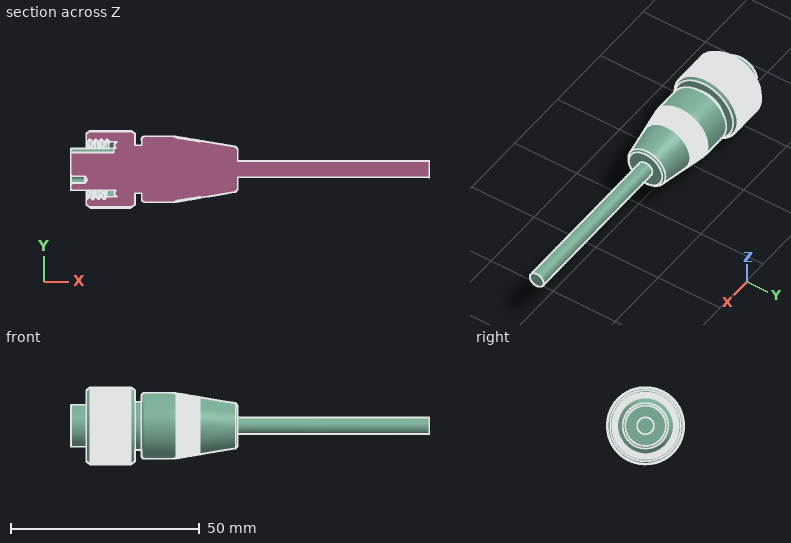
import cadquery as cq
import math

total_length = 95.15

nose_diameter = 11.2
nose_chamfer = 0.2
key_width = 2.0
key_floor_radius = 4.5
key_length = 11.4
socket_count = 3
socket_circle_radius = 2.8
socket_mouth_diameter = 2.3
socket_mouth_depth = 0.2
socket_bore_diameter = 1.7
socket_depth = 3.8
drill_point_angle = 118.0

nut_start = 4.1
nut_end = 17.1
nut_diameter = 20.55
nut_chamfer_length = 1.1
nut_chamfer_height = 0.9
nut_floor = 12.5
thread_minor_diameter = 14.6
thread_major_diameter = 15.9
thread_pitch = 1.5
thread_root_width = 0.2
thread_mouth_width = 1.4
thread_start_angle = 30.0

seal_thickness = 1.7
seal_bite = 0.1

neck_diameter = 12.8
body_start = 18.7
body_diameter = 17.6
body_edge_radius = 0.95
taper_start = 27.3
taper_end = 44.3
taper_end_diameter = 11.9
taper_blend_radius = 9.5
taper_end_chamfer = 0.6

cable_diameter = 4.5

knurl_pitch = 0.63
knurl_row_width = 0.34
knurl_depth = 0.2
knurl_core_depth = knurl_depth + 0.05
nut_knurl_start = nut_start + nut_chamfer_length
nut_knurl_end = nut_end - nut_chamfer_length
grip_knurl_start = 28.0
grip_knurl_end = 34.3

overlap = 0.95

match_tolerance = 0.001


def grip_radius(x):
    """Radius of the tapered part of the grip at distance x along the axis."""
    share = (x - taper_start) / (taper_end - taper_start)
    return (body_diameter + share * (taper_end_diameter - body_diameter)) / 2


nut_band = (nut_knurl_start, nut_diameter / 2, nut_knurl_end, nut_diameter / 2)
grip_band = (grip_knurl_start, grip_radius(grip_knurl_start), grip_knurl_end, grip_radius(grip_knurl_end))


def rod(diameter, start, end):
    """Round bar along X."""
    return cq.Workplane("YZ", origin=(start, 0, 0)).circle(diameter / 2).extrude(end - start)


def turned(points):
    """Solid turned about X from an outline of (x, radius) points."""
    return cq.Workplane("XY").polyline(points).close().revolve(360, (0, 0, 0), (1, 0, 0))


def knurl_relief(start, start_radius, end, end_radius):
    """Ring that lowers a straight or tapered surface to the knurling core."""
    return turned([
        (start, start_radius - knurl_core_depth),
        (start, start_radius + overlap),
        (end, end_radius + overlap),
        (end, end_radius - knurl_core_depth),
    ])


def tooth_wire(x, tip_radius, tooth_count):
    """Closed zigzag around the axis, with its tips at tip_radius."""
    points = []
    for i in range(2 * tooth_count):
        radius = tip_radius if i % 2 == 0 else tip_radius - knurl_depth
        angle = math.pi * i / tooth_count
        points.append(cq.Vector(x, radius * math.cos(angle), radius * math.sin(angle)))
    return cq.Wire.makePolygon(points, close=True)


def core_strip(start, start_radius, end, end_radius):
    """Round face of the knurling core between two places along the axis."""
    core = turned([(start, 0), (start, start_radius), (end, end_radius), (end, 0)])
    return core.faces("%CYLINDER or %CONE").val()


def row_side(outline, strip_edge):
    """Flat side of a tooth row, from its zigzag outline down to the core."""
    return cq.Face.makeFromWires(outline, [cq.Wire.assembleEdges([strip_edge.val()])])


def knurl_skin(start, start_radius, end, end_radius):
    """Outer faces of a knurled band: rows of teeth with strips of core before, between and after."""
    tooth_count = 4 * round(2 * math.pi * start_radius / knurl_pitch / 4)
    row_count = round((end - start) / knurl_pitch)
    row_spacing = (end - start) / row_count
    slope = (end_radius - start_radius) / (end - start)

    places = [start]
    for i in range(row_count):
        row_centre = start + (i + 0.5) * row_spacing
        places += [row_centre - knurl_row_width / 2, row_centre + knurl_row_width / 2]
    places.append(end)
    tips = [start_radius + slope * (x - start) for x in places]

    strips = [
        core_strip(places[i], tips[i] - knurl_core_depth, places[i + 1], tips[i + 1] - knurl_core_depth)
        for i in range(0, len(places), 2)
    ]
    faces = list(strips)
    for i in range(row_count):
        first, second = 2 * i + 1, 2 * i + 2
        front = tooth_wire(places[first], tips[first], tooth_count)
        back = tooth_wire(places[second], tips[second], tooth_count)
        faces += cq.Workplane(cq.Solid.makeLoft([front, back], True)).faces("not |X").vals()
        faces.append(row_side(front, cq.Workplane(strips[i]).edges(">X")))
        faces.append(row_side(back, cq.Workplane(strips[i + 1]).edges("<X")))
    return faces


def spans(face, band):
    """True for the core face that reaches exactly from the start to the end of a knurled band."""
    start, _, end, _ = band
    box = face.BoundingBox()
    return abs(box.xmin - start) < match_tolerance and abs(box.xmax - end) < match_tolerance


def thread_groove():
    """Helical groove that enters through the open face and stops short of the seal."""
    start = nut_start - thread_pitch
    length = nut_floor - seal_thickness / 2 - thread_pitch - start
    inner = thread_minor_diameter / 2 - thread_root_width
    outer = thread_major_diameter / 2
    helix = cq.Wire.makeHelix(thread_pitch, length, inner)
    profile = (
        cq.Workplane("XZ")
        .moveTo(inner, -thread_mouth_width / 2)
        .lineTo(outer, -thread_root_width / 2)
        .lineTo(outer, thread_root_width / 2)
        .lineTo(inner, thread_mouth_width / 2)
        .close()
    )
    groove = profile.sweep(cq.Workplane(helix), isFrenet=True)
    groove = groove.rotate((0, 0, 0), (0, 0, 1), 180 + thread_start_angle).rotate((0, 0, 0), (0, 1, 0), 90)
    return groove.translate((start, 0, 0))


def make_nut():
    nut = rod(nut_diameter, nut_start, nut_end)
    nut = nut.faces("<X or >X").chamfer(nut_chamfer_length, nut_chamfer_height)
    nut = nut.cut(knurl_relief(*nut_band))
    nut = nut.cut(rod(thread_minor_diameter, nut_start, nut_floor))
    return nut.cut(thread_groove())


def make_seal():
    """Ring half sunk in the floor of the nut."""
    mean_radius = (nose_diameter + seal_thickness) / 2 - seal_bite
    centre = cq.Vector(nut_floor, 0, 0)
    return cq.Workplane(cq.Solid.makeTorus(mean_radius, seal_thickness / 2, centre, cq.Vector(1, 0, 0)))


def make_socket():
    """Stepped hole with a drill point, on the axis."""
    mouth = socket_mouth_diameter / 2
    bore = socket_bore_diameter / 2
    point_length = bore / math.tan(math.radians(drill_point_angle / 2))
    return turned([
        (0, 0),
        (0, mouth),
        (socket_mouth_depth, mouth),
        (socket_mouth_depth, bore),
        (socket_depth, bore),
        (socket_depth + point_length, 0),
    ])


def make_nose():
    nose = rod(nose_diameter, 0, nut_end).faces("<X").chamfer(nose_chamfer)
    key = cq.Workplane("XY").box(key_length, nose_diameter, key_width, centered=(False, False, True))
    nose = nose.cut(key.translate((0, key_floor_radius, 0)))
    socket = make_socket().translate((0, -socket_circle_radius, 0))
    for i in range(socket_count):
        nose = nose.cut(socket.rotate((0, 0, 0), (1, 0, 0), 360 * i / socket_count))
    return nose


def make_grip():
    grip = turned([
        (body_start, 0),
        (body_start, body_diameter / 2),
        (taper_start, body_diameter / 2),
        (taper_end, taper_end_diameter / 2),
        (taper_end, 0),
    ])
    shoulder = cq.selectors.BoxSelector(
        (taper_start - overlap, -body_diameter, -body_diameter),
        (taper_start + overlap, body_diameter, body_diameter),
        boundingbox=True,
    )
    grip = grip.edges(shoulder).fillet(taper_blend_radius)
    grip = grip.faces("<X").edges().fillet(body_edge_radius)
    grip = grip.faces(">X").edges().chamfer(taper_end_chamfer)
    return grip.cut(knurl_relief(*grip_band))


body = (
    make_nut()
    .union(make_nose())
    .union(make_seal())
    .union(rod(neck_diameter, nut_end - overlap, body_start + overlap))
    .union(make_grip())
    .union(rod(cable_diameter, taper_end - overlap, total_length))
)

smooth_faces = [
    face
    for face in body.val().Faces()
    if not spans(face, nut_band) and not spans(face, grip_band)
]
skin = knurl_skin(*nut_band) + knurl_skin(*grip_band)
result = cq.Workplane(cq.Solid.makeSolid(cq.Shell.makeShell(smooth_faces + skin)))